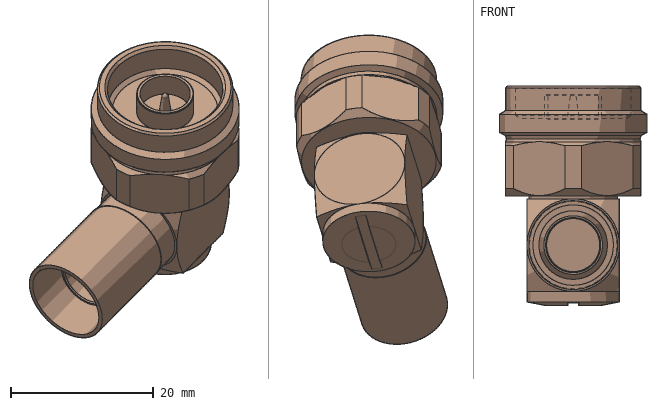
import cadquery as cq
import math


body_width = 13.0
body_half = body_width / 2
corner_bevel_angle = 30.0

cap_height = 1.5
crown_height = 0.52
crown_flat_radius = 3.8
slot_width = 1.5
slot_depth = 0.4

nut_top = 22.37
nut_bottom = 6.88
nut_radius = 10.4
hex_flats = 19.05
barrel_radius = hex_flats / 2
rim_chamfer = 0.28
collar_top = 18.35
collar_bottom = 15.85
collar_bevel_height = 0.55
groove_rim_radius = 9.55
groove_root_radius = 9.4
groove_top = 15.4
groove_root = 14.9
groove_bottom = 14.5
hex_top = 13.95
hex_bottom = 7.92
hex_foot_radius = 9.45
neck_radius = 6.25

socket_radius = 8.1
socket_chamfer = 0.4
socket_floor_radius = 7.45
socket_floor = 17.75
socket_bevel_height = 0.45

contact_outer_radius = 4.0
contact_inner_radius = 3.52
contact_top = 21.15
contact_chamfer = 0.1
contact_floor = 17.65
pin_base_radius = 0.85
pin_tip_radius = 0.45
pin_top = 21.1

shoulder_radius = 6.15
shoulder_end = 9.9
sleeve_outer_radius = 6.25
sleeve_inner_radius = 5.65
sleeve_end = 24.5
ferrule_outer_radius = 4.8
ferrule_nose_radius = 4.12
ferrule_nose_length = 2.8
ferrule_end = 19.58
ferrule_bore_radius = 3.75
ferrule_mouth_radius = 3.87
ferrule_mouth_depth = 0.2


def revolve_on_z(points):
    """Revolve a closed (radius, z) outline about the Z axis."""
    return cq.Workplane("XZ").polyline(points).close().revolve(360, (0, 0), (0, 1))


def revolve_on_y(points):
    """Revolve a closed (radius, distance toward -Y) outline about the Y axis."""
    outline = [(radius, -distance) for radius, distance in points]
    return cq.Workplane("XY").polyline(outline).close().revolve(360, (0, 0), (0, 1))


def disc(radius, bottom, top):
    """Cylinder on the Z axis between two heights."""
    return cq.Workplane("XY").workplane(offset=bottom).circle(radius).extrude(top - bottom)


def make_body():
    """Cube whose corners are turned to cones at its two Y ends."""
    cube = cq.Workplane("XY").box(body_width, body_width, body_width)
    corner_radius = body_half * math.sqrt(2)
    bevel_depth = (corner_radius - body_half) * math.tan(math.radians(corner_bevel_angle))
    turned_envelope = revolve_on_y([
        (0, body_half),
        (body_half, body_half),
        (corner_radius, body_half - bevel_depth),
        (corner_radius, bevel_depth - body_half),
        (body_half, -body_half),
        (0, -body_half),
    ])
    return cube.intersect(turned_envelope)


def make_cap():
    """Round cap under the body with a crowned, slotted end."""
    cap_bottom = -body_half - cap_height
    crown_bottom = cap_bottom - crown_height
    cap = revolve_on_z([
        (0, -body_half),
        (body_half, -body_half),
        (body_half, cap_bottom),
        (crown_flat_radius, crown_bottom),
        (0, crown_bottom),
    ])
    slot = (
        cq.Workplane("XY")
        .box(slot_width, body_width, slot_depth, centered=(True, True, False))
        .translate((0, 0, crown_bottom))
    )
    return cap.cut(slot)


def make_nut_outside():
    """Turned nut with a collar, a groove and a hexagon with flats facing X."""
    barrel_and_collar = revolve_on_z([
        (0, nut_top),
        (barrel_radius - rim_chamfer, nut_top),
        (barrel_radius, nut_top - rim_chamfer),
        (barrel_radius, collar_top + collar_bevel_height),
        (nut_radius, collar_top),
        (nut_radius, collar_bottom),
        (groove_rim_radius, groove_top),
        (groove_root_radius, groove_root),
        (0, groove_root),
    ])
    hex_blank = revolve_on_z([
        (0, groove_root),
        (groove_root_radius, groove_root),
        (groove_rim_radius, groove_bottom),
        (nut_radius, hex_top),
        (nut_radius, hex_bottom),
        (hex_foot_radius, nut_bottom),
        (0, nut_bottom),
    ])
    hex_corners = hex_flats / math.cos(math.radians(30))
    hex_prism = (
        cq.Workplane("XY")
        .workplane(offset=nut_bottom)
        .transformed(rotate=(0, 0, 30))
        .polygon(6, hex_corners)
        .extrude(groove_root - nut_bottom)
    )
    return barrel_and_collar.union(hex_blank.intersect(hex_prism))


def make_socket():
    """Open space inside the nut, around the contact sleeve."""
    return revolve_on_z([
        (0, nut_top),
        (socket_radius + socket_chamfer, nut_top),
        (socket_radius, nut_top - socket_chamfer),
        (socket_radius, socket_floor + socket_bevel_height),
        (socket_floor_radius, socket_floor),
        (0, socket_floor),
    ])


def make_contact_sleeve():
    """Tube standing on the socket floor."""
    sleeve = disc(contact_outer_radius, socket_floor, contact_top)
    return sleeve.faces(">Z").edges().chamfer(contact_chamfer)


def make_pin():
    """Tapered centre pin with a hemispherical tip."""
    dome_base = pin_top - pin_tip_radius
    dome_middle = pin_tip_radius * math.sqrt(0.5)
    return (
        cq.Workplane("XZ")
        .moveTo(0, contact_floor)
        .lineTo(pin_base_radius, contact_floor)
        .lineTo(pin_tip_radius, dome_base)
        .threePointArc((dome_middle, dome_base + dome_middle), (0, pin_top))
        .close()
        .revolve(360, (0, 0), (0, 1))
    )


def make_cable_sleeve():
    """Shoulder, thin outer sleeve and the shorter ferrule inside it."""
    shoulder_and_ferrule = revolve_on_y([
        (ferrule_bore_radius, body_half),
        (shoulder_radius, body_half),
        (shoulder_radius, shoulder_end),
        (ferrule_outer_radius, shoulder_end),
        (ferrule_outer_radius, ferrule_end - ferrule_nose_length),
        (ferrule_nose_radius, ferrule_end),
        (ferrule_mouth_radius, ferrule_end),
        (ferrule_bore_radius, ferrule_end - ferrule_mouth_depth),
    ])
    outer_sleeve = revolve_on_y([
        (sleeve_inner_radius, shoulder_end),
        (sleeve_outer_radius, shoulder_end),
        (sleeve_outer_radius, sleeve_end),
        (sleeve_inner_radius, sleeve_end),
    ])
    return shoulder_and_ferrule.union(outer_sleeve)


contact_bore = disc(contact_inner_radius, contact_floor, contact_top)
plug_end = make_nut_outside().cut(make_socket()).union(make_contact_sleeve())
plug_end = plug_end.cut(contact_bore).union(make_pin())
neck = disc(neck_radius, body_half, nut_bottom)

result = make_body().union(make_cap()).union(neck).union(plug_end).union(make_cable_sleeve())